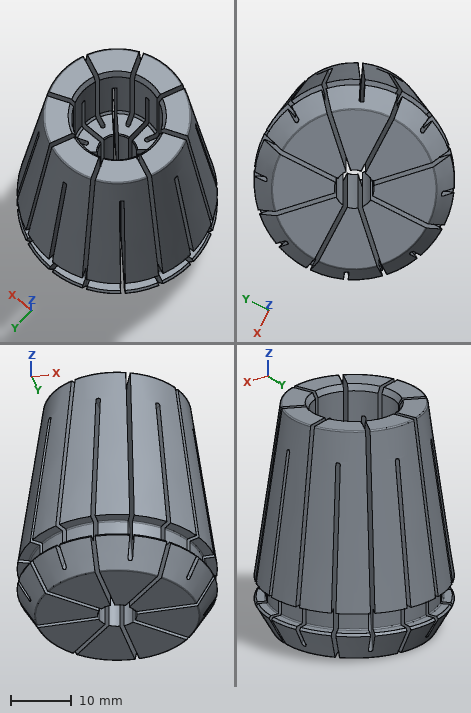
import cadquery as cq
import math

height = 40.0
max_diameter = 33.0
max_radius = max_diameter / 2
taper_angle = 8.0
top_edge_round = 0.25

groove_floor_radius = 14.6
groove_top = 9.1
groove_bottom = 5.5
groove_corner_round = 0.2
nut_cone_angle = 30.0
nut_cone_top = 5.1
flange_rim_radius = 16.15
bottom_edge_round = 0.2

clamp_radius = 3.25
clamp_chamfer = 0.2
relief_radius = 7.5
relief_floor = 25.0
relief_floor_chamfer = 0.4
relief_mouth_width = 0.6
relief_mouth_depth = 1.05

slots_per_end = 8
slot_width = 0.75
bottom_slot_end = 34.5
top_slot_exit_radius = 14.4
top_slot_exit_height = 1.5
top_slot_slope = 68.3

slot_pitch = 360.0 / slots_per_end
slot_reach = 2 * height
match_tolerance = 4e-05


def revolve_profile(points):
    """Revolve a closed (radius, height) outline about the Z axis."""
    return cq.Workplane("XZ").polyline(points).close().revolve(360, (0, 0), (0, 1))


def round_circles(body, radius, circles):
    """Fillet the circular edges that match the given (radius, height) pairs."""
    def wanted(edge):
        return any(
            edge.geomType() == "CIRCLE"
            and math.isclose(edge.radius(), r, abs_tol=match_tolerance)
            and math.isclose(edge.Center().z, z, abs_tol=match_tolerance)
            for r, z in circles
        )
    edges = [edge for edge in body.edges().vals() if wanted(edge)]
    return body.newObject(edges).fillet(radius)


def outer_body():
    """Solid outside shape: long taper, groove and reversed nut cone."""
    top_radius = max_radius - (height - groove_top) * math.tan(math.radians(taper_angle))
    bottom_radius = max_radius - nut_cone_top * math.tan(math.radians(nut_cone_angle))
    body = revolve_profile([
        (0, 0),
        (bottom_radius, 0),
        (max_radius, nut_cone_top),
        (flange_rim_radius, groove_bottom),
        (groove_floor_radius, groove_bottom),
        (groove_floor_radius, groove_top),
        (max_radius, groove_top),
        (top_radius, height),
        (0, height),
    ])
    body = round_circles(body, top_edge_round, [(top_radius, height)])
    body = round_circles(body, bottom_edge_round, [(bottom_radius, 0)])
    groove_corners = [(groove_floor_radius, groove_bottom), (groove_floor_radius, groove_top)]
    return round_circles(body, groove_corner_round, groove_corners)


def stepped_bore():
    """Clamping hole and relief bore, with chamfers at the hole, floor and mouth."""
    return revolve_profile([
        (0, 0),
        (clamp_radius, 0),
        (clamp_radius, relief_floor - clamp_chamfer),
        (clamp_radius + clamp_chamfer, relief_floor),
        (relief_radius - relief_floor_chamfer, relief_floor),
        (relief_radius, relief_floor + relief_floor_chamfer),
        (relief_radius, height - relief_mouth_depth),
        (relief_radius + relief_mouth_width, height),
        (0, height),
    ])


def round_ended_slot(plane):
    """Long slot along the plane normal, its round end at the origin and open toward local +Y."""
    half = slot_width / 2
    return (
        cq.Workplane(plane)
        .moveTo(-half, slot_reach)
        .lineTo(-half, half)
        .threePointArc((0, 0), (half, half))
        .lineTo(half, slot_reach)
        .close()
        .extrude(slot_reach, both=True)
    )


def bottom_slot():
    """Straight slot across the whole diameter, open at the bottom."""
    plane = cq.Plane(origin=(0, 0, bottom_slot_end), xDir=(0, 1, 0), normal=(1, 0, 0))
    return round_ended_slot(plane).rotate((0, 0, bottom_slot_end), (1, 0, bottom_slot_end), 180)


def top_slot():
    """Slot open at the top whose round bottom climbs inward from the nut cone."""
    slope = math.radians(top_slot_slope)
    plane = cq.Plane(
        origin=(top_slot_exit_radius, 0, top_slot_exit_height),
        xDir=(0, 1, 0),
        normal=(math.cos(slope), 0, -math.sin(slope)),
    )
    return round_ended_slot(plane)


result = outer_body().cut(stepped_bore())
for index in range(slots_per_end // 2):
    result = result.cut(bottom_slot().rotate((0, 0, 0), (0, 0, 1), index * slot_pitch))
for index in range(slots_per_end):
    result = result.cut(top_slot().rotate((0, 0, 0), (0, 0, 1), (index + 0.5) * slot_pitch))